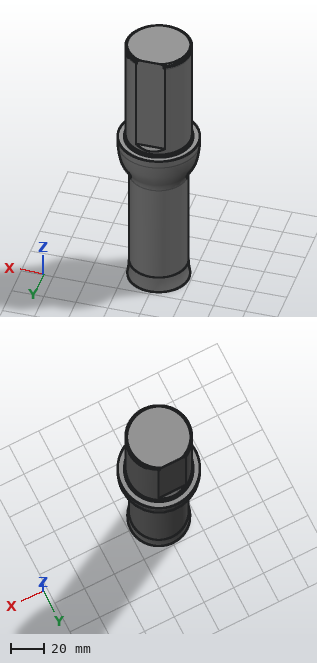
import cadquery as cq
import math

total_height = 175.0
rim_top = 1.5
head_top = 11.5
neck_height = 77.7
collar_bottom = 100.5
collar_top = 105.4

body_radius = 35.9 / 2
rim_radius = 18.9
collar_radius = 49.5 / 2
shank_radius = 40.0 / 2
undercut_radius = 39.5 / 2

dome_height = 1.0

bowl_points = [(18.7, 81.2), (22.8, 88.4), (24.2, 94.7)]

collar_chamfer = 0.2
recess_radius = 20.8
recess_depth = 0.5

undercut_top = 107.0
undercut_taper = 0.7
end_groove_bottom = 171.7
end_groove_taper = 1.0
end_groove_top = 173.6
end_groove_depth = 0.4
end_chamfer = 1.0
flat_distance = 17.8
flat_start = 108.8
cutter_overlap = 0.9


def revolve_profile(profile):
    """Turn a closed XZ half profile about the Z axis."""
    return profile.close().revolve(360, (0, 0, 0), (0, 1, 0))


def make_head():
    """Flared cutting end with a shallow domed tip."""
    flare_height = head_top - rim_top
    flare_growth = rim_radius - body_radius
    flare_arc_radius = (flare_height**2 + flare_growth**2) / (2 * flare_growth)
    middle_angle = math.asin(flare_height / flare_arc_radius) / 2
    flare_middle = (
        body_radius + flare_arc_radius * (1 - math.cos(middle_angle)),
        head_top - flare_arc_radius * math.sin(middle_angle),
    )
    dome_arc_radius = (rim_radius**2 + dome_height**2) / (2 * dome_height)
    half_angle = math.asin(rim_radius / dome_arc_radius) / 2
    dome_middle = (
        dome_arc_radius * math.sin(half_angle),
        dome_arc_radius * (1 - math.cos(half_angle)),
    )
    profile = (
        cq.Workplane("XZ")
        .moveTo(0, 0)
        .threePointArc(dome_middle, (rim_radius, dome_height))
        .lineTo(rim_radius, rim_top)
        .threePointArc(flare_middle, (body_radius, head_top))
        .lineTo(0, head_top)
    )
    return revolve_profile(profile)


def make_turned_holder():
    """Neck, bowl, collar and shank as one turned shape."""
    recess_floor = collar_top - recess_depth
    groove_radius = shank_radius - end_groove_depth
    profile = (
        cq.Workplane("XZ")
        .moveTo(0, head_top)
        .lineTo(body_radius, head_top)
        .lineTo(body_radius, neck_height)
        .spline(
            bowl_points + [(collar_radius, collar_bottom)],
            tangents=[(0, 1), (0, 1)],
            includeCurrent=True,
        )
        .lineTo(collar_radius, collar_top - collar_chamfer)
        .lineTo(collar_radius - collar_chamfer, collar_top)
        .lineTo(recess_radius, collar_top)
        .lineTo(recess_radius - recess_depth, recess_floor)
        .lineTo(undercut_radius, recess_floor)
        .lineTo(undercut_radius, undercut_top - undercut_taper)
        .lineTo(shank_radius, undercut_top)
        .lineTo(shank_radius, end_groove_bottom)
        .lineTo(groove_radius, end_groove_bottom + end_groove_taper)
        .lineTo(groove_radius, end_groove_top)
        .lineTo(shank_radius, end_groove_top)
        .lineTo(shank_radius, total_height - end_chamfer)
        .lineTo(shank_radius - end_chamfer, total_height)
        .lineTo(0, total_height)
    )
    return revolve_profile(profile)


def make_flat_cutter():
    """Volume beyond the shank flat, with a 45 degree runout at its lower end."""
    flat_depth = shank_radius - flat_distance
    runout_top = flat_start + flat_depth
    cutter_depth = flat_depth + cutter_overlap
    return (
        cq.Workplane("YZ")
        .moveTo(flat_distance, runout_top)
        .lineTo(flat_distance + cutter_depth, runout_top - cutter_depth)
        .lineTo(flat_distance + cutter_depth, total_height)
        .lineTo(flat_distance, total_height)
        .close()
        .extrude(collar_radius, both=True)
    )


holder = make_turned_holder().cut(make_flat_cutter())
head = make_head()

result = cq.Compound.makeCompound([holder.val(), head.val()])